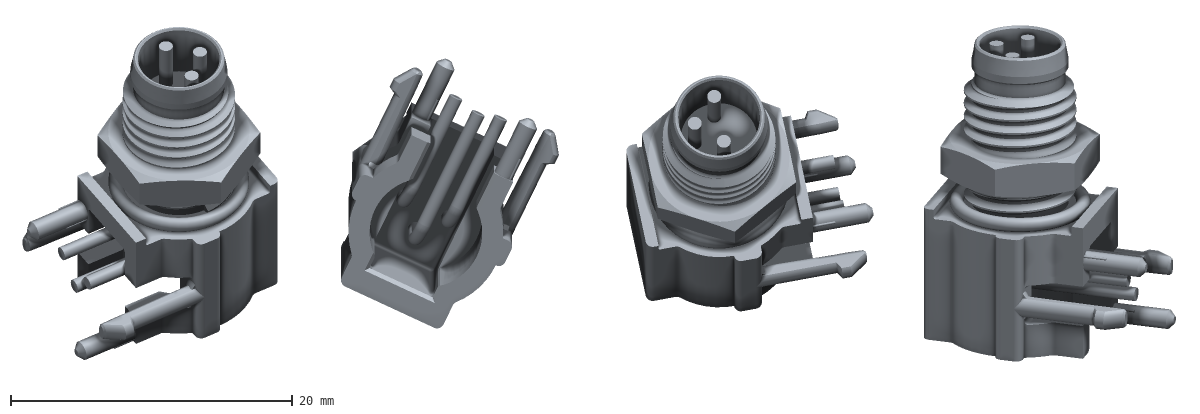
import cadquery as cq
import math

total_height = 22.0
overall_width = 13.0
margin = 0.22

housing_half_depth = 6.0
housing_half_width = 6.0
plate_half_width = 4.0
plate_top = 10.0
plate_inner_y = 5.17
deck_z = 9.3
deck_fillet = 0.15
side_radius = 5.5
shoulder_front_y = -2.0
shoulder_round = 0.5
shoulder_back_round = 0.48
plate_round = 0.5
flank_blend = 0.45

slot_bottom = 2.5
slot_top = 5.52
slot_fillet = 0.29
cavity_radius = 4.0
cavity_edge_chamfer = 0.1

pocket_half_width = 2.49
pocket_back_y = 4.1
pocket_top = 8.03
pocket_fillet = 0.29
pocket_flare = 0.26

thread_bottom = 10.0
thread_top = 19.0
root_radius = 3.45
crest_diameter = 8.0
crest_radius = crest_diameter / 2
thread_pitch = crest_diameter / 8
crest_flat = 0.13
thread_turns = 9.5
thread_overlap = 0.07
flank_slope = math.tan(math.radians(30))
neck_radius = 6.5 / 2
neck_top = 20.0
head_bottom = 20.17
head_top = 20.7
rim_chamfer = 0.13
bore_mouth_radius = 3.04
bore_radius = 2.9
bore_floor_radius = 2.73
bore_floor_z = 18.0

nut_flats = 10.03
nut_bottom = 12.15
nut_height = 2.53
nut_corner_drop = 0.25

ring_radius = 0.5
ring_outer_radius = 10.0 / 2
ring_sink = 0.02
seat_height = 0.45

pin_diameter = 1.0
pin_offset = 1.75
pin_top = 21.67
pin_front_y = -8.7
pin_bend = 1.5
outer_pin_z = 5.5
middle_pin_z = 3.75

post_diameter = 1.4
post_x = 6.5 / 2
upper_post_z = 7.24
lower_post_z = 0.75
post_end_y = -10.5
post_chamfer = 0.42
rib_radius = 0.09
rib_length = 1.67

arm_z = 4.0
arm_half_height = 0.7
arm_side_radius = 0.77
arm_root_y = -1.5
arm_root_inner_x = 4.58
hook_x = overall_width / 2
hook_inner_x = 4.7
hook_back_y = -7.4
hook_full_y = -7.68
hook_nose_y = -8.34
tip_inner_x = 4.75
tip_outer_x = 5.7
tip_y = -9.48
tip_chamfer = 0.15
flare_radius = 1.08
flare_length = 0.29


def box_between(x0, x1, y0, y1, z0, z1):
    return cq.Workplane("XY").box(x1 - x0, y1 - y0, z1 - z0, centered=False).translate((x0, y0, z0))


def disc(radius, z0, z1):
    return cq.Workplane("XY", origin=(0, 0, z0)).circle(radius).extrude(z1 - z0)


def revolved(outline):
    """Solid of revolution about Z from a closed outline in the XZ plane."""
    return outline.revolve(360, (0, 0, 0), (0, 1, 0))


def rod_toward_front(diameter, x, z, y0, y1):
    """Round rod along Y from y0 forward to y1."""
    return cq.Workplane("XZ", origin=(x, y0, z)).circle(diameter / 2).extrude(y0 - y1)


def flank_point(angle_degrees):
    angle = math.radians(angle_degrees)
    return (side_radius * math.cos(angle), side_radius * math.sin(angle))


def make_housing():
    plate_angle = math.degrees(math.acos(plate_half_width / side_radius))
    shoulder_angle = math.degrees(math.asin(shoulder_front_y / side_radius))
    body = (
        cq.Workplane("XY")
        .moveTo(0, housing_half_depth)
        .lineTo(plate_half_width, housing_half_depth)
        .lineTo(*flank_point(plate_angle))
        .threePointArc(flank_point(plate_angle / 2), flank_point(0))
        .lineTo(housing_half_width, 0)
        .lineTo(housing_half_width, shoulder_front_y)
        .lineTo(*flank_point(shoulder_angle))
        .threePointArc(flank_point((shoulder_angle - plate_angle) / 2), flank_point(-plate_angle))
        .lineTo(plate_half_width, -housing_half_depth)
        .lineTo(0, -housing_half_depth)
        .mirrorY()
        .extrude(plate_top)
    )

    plate_corner = (plate_half_width, housing_half_depth)
    shoulder_front = (housing_half_width, shoulder_front_y)
    shoulder_back = (housing_half_width, 0)
    rounded_corners = [
        (plate_corner, plate_round),
        (shoulder_front, shoulder_round),
        (shoulder_back, shoulder_back_round),
        (flank_point(plate_angle), flank_blend),
        (flank_point(-plate_angle), flank_blend),
    ]
    for (x, y), radius in rounded_corners:
        for side in (-1, 1):
            corner = cq.selectors.NearestToPointSelector((side * x, y, plate_top / 2))
            body = body.edges("|Z").edges(corner).fillet(radius)

    reach = housing_half_width + margin
    deck_cut = box_between(-reach, reach, -plate_inner_y, plate_inner_y, deck_z, plate_top + margin)
    body = body.cut(deck_cut.edges("|X and <Z").fillet(deck_fillet))

    slot = box_between(-reach, reach, -reach, shoulder_front_y, slot_bottom, slot_top)
    body = body.cut(slot.edges("|X and >Y").fillet(slot_fillet))
    body = body.cut(disc(cavity_radius, 0, slot_top))
    body = body.cut(make_pocket())

    cavity_edge_y = math.sqrt(cavity_radius**2 - pocket_half_width**2)
    for side in (-1, 1):
        cavity_edge = (side * pocket_half_width, cavity_edge_y, (pocket_flare + slot_top) / 2)
        edge = cq.selectors.NearestToPointSelector(cavity_edge)
        body = body.edges("|Z").edges(edge).chamfer(cavity_edge_chamfer)
    return body


def make_pocket():
    front_y = -housing_half_depth - 2 * pocket_flare
    pocket = box_between(-pocket_half_width, pocket_half_width, front_y, pocket_back_y, 0, pocket_top)
    pocket = pocket.edges("(|Z and >Y) or (>Z and (not <Y))").fillet(pocket_fillet)
    flare = (
        cq.Workplane("XY", origin=(0, (front_y + pocket_back_y) / 2, 0))
        .rect(2 * (pocket_half_width + pocket_flare), pocket_back_y - front_y + 2 * pocket_flare)
        .extrude(pocket_flare, taper=45)
    )
    return pocket.union(flare)


def make_barrel():
    """Turned outline from the deck up to the rim, without the thread and the bore."""
    outline = (
        cq.Workplane("XZ")
        .moveTo(0, deck_z - margin)
        .lineTo(0, total_height)
        .lineTo(neck_radius - rim_chamfer, total_height)
        .lineTo(neck_radius, total_height - rim_chamfer)
        .lineTo(root_radius, head_top)
        .lineTo(root_radius, head_bottom)
        .lineTo(neck_radius, neck_top)
        .lineTo(neck_radius, thread_top)
        .lineTo(root_radius, thread_top - (root_radius - neck_radius) * flank_slope)
        .lineTo(root_radius, deck_z - margin)
        .close()
    )
    return revolved(outline)


def make_thread():
    """Helical 60 degree ridge, cut off at the top by a 30 degree lead-in cone."""
    root_half = crest_flat / 2 + (crest_radius - root_radius + thread_overlap) * flank_slope
    inner = root_radius - thread_overlap
    helix = cq.Wire.makeHelix(thread_pitch, thread_turns * thread_pitch, inner)
    ridge = (
        cq.Workplane("XZ")
        .polyline([
            (inner, -root_half),
            (crest_radius, -crest_flat / 2),
            (crest_radius, crest_flat / 2),
            (inner, root_half),
        ])
        .close()
        .sweep(cq.Workplane(obj=helix), isFrenet=True)
        .translate((0, 0, thread_bottom))
    )
    reach = crest_radius + margin
    lead_in_outline = (
        cq.Workplane("XZ")
        .moveTo(0, deck_z)
        .lineTo(0, thread_top)
        .lineTo(neck_radius, thread_top)
        .lineTo(reach, thread_top - (reach - neck_radius) * flank_slope)
        .lineTo(reach, deck_z)
        .close()
    )
    lead_in = revolved(lead_in_outline)
    return ridge.intersect(lead_in)


def make_bore():
    outline = (
        cq.Workplane("XZ")
        .moveTo(0, total_height)
        .lineTo(bore_mouth_radius, total_height)
        .lineTo(bore_radius, total_height - rim_chamfer)
        .lineTo(bore_floor_radius, bore_floor_z)
        .lineTo(0, bore_floor_z)
        .close()
    )
    return revolved(outline)


def make_nut():
    corner_diameter = nut_flats / math.cos(math.radians(30))
    hexagon = cq.Workplane("XY", origin=(0, 0, nut_bottom)).polygon(6, corner_diameter).extrude(nut_height)
    corner_radius = corner_diameter / 2
    nut_top = nut_bottom + nut_height
    envelope_outline = (
        cq.Workplane("XZ")
        .moveTo(0, nut_bottom)
        .lineTo(nut_flats / 2, nut_bottom)
        .lineTo(corner_radius, nut_bottom + nut_corner_drop)
        .lineTo(corner_radius, nut_top - nut_corner_drop)
        .lineTo(nut_flats / 2, nut_top)
        .lineTo(0, nut_top)
        .close()
    )
    envelope = revolved(envelope_outline)
    return hexagon.intersect(envelope)


def make_sealing_ring():
    path_radius = ring_outer_radius - ring_radius
    centre_z = deck_z + ring_radius - ring_sink
    ring_outline = (
        cq.Workplane("XZ")
        .moveTo(-path_radius, centre_z)
        .circle(ring_radius)
    )
    ring = revolved(ring_outline)
    seat = disc(path_radius - ring_radius / 2, deck_z, deck_z + seat_height)
    return ring.union(seat)


def make_pin(x, y, front_z):
    """Pin that drops down the barrel, bends forward and leaves through the pocket."""
    half_bend = math.radians(45)
    bend_y = y - pin_bend
    bend_z = front_z + pin_bend
    middle_of_bend = (bend_y + pin_bend * math.cos(half_bend), bend_z - pin_bend * math.sin(half_bend))
    path = (
        cq.Workplane("YZ", origin=(x, 0, 0))
        .moveTo(y, pin_top)
        .lineTo(y, bend_z)
        .threePointArc(middle_of_bend, (bend_y, front_z))
        .lineTo(pin_front_y, front_z)
    )
    return cq.Workplane("XY", origin=(x, y, pin_top)).circle(pin_diameter / 2).sweep(path)


def make_post(x, z):
    """Post with a conical tip and two short crush ribs on a diagonal."""
    base_y = -housing_half_depth
    post = rod_toward_front(post_diameter, x, z, base_y, post_end_y).faces("<Y").chamfer(post_chamfer)
    offset = post_diameter / 2 * math.cos(math.radians(45))
    for side in (-1, 1):
        rib_x = x + side * offset
        rib_z = z - side * offset
        rib = rod_toward_front(2 * rib_radius, rib_x, rib_z, base_y, base_y - rib_length)
        post = post.union(rib)
    return post


def arm_section(y, inner_x, outer_x, half_height):
    """Cross-section of an arm: flat above and below, round on both sides."""
    bulge = arm_side_radius - math.sqrt(arm_side_radius**2 - half_height**2)
    outline = (
        cq.Workplane("XZ", origin=(0, y, arm_z))
        .moveTo(inner_x + bulge, -half_height)
        .lineTo(outer_x - bulge, -half_height)
        .threePointArc((outer_x, 0), (outer_x - bulge, half_height))
        .lineTo(inner_x + bulge, half_height)
        .threePointArc((inner_x, 0), (inner_x + bulge, -half_height))
        .wire()
    )
    return outline.val()


def make_arm():
    """Snap arm on the +X side: straight shank, hook, slanted nose, chamfered tip and flared root."""
    sections = [
        arm_section(arm_root_y, arm_root_inner_x, housing_half_width, arm_half_height),
        arm_section(hook_back_y, hook_inner_x, housing_half_width, arm_half_height),
        arm_section(hook_full_y, hook_inner_x, hook_x, arm_half_height),
        arm_section(hook_nose_y, hook_inner_x, hook_x, arm_half_height),
        arm_section(tip_y, tip_inner_x, tip_outer_x, arm_half_height),
        arm_section(
            tip_y - tip_chamfer,
            tip_inner_x + tip_chamfer,
            tip_outer_x - tip_chamfer,
            arm_half_height - tip_chamfer,
        ),
    ]
    arm = cq.Workplane(obj=cq.Solid.makeLoft(sections, True))

    flare = (
        cq.Workplane("XZ", origin=(housing_half_width - arm_half_height, shoulder_front_y, arm_z))
        .circle(flare_radius)
        .workplane(offset=flare_length)
        .circle(arm_half_height)
        .loft()
    )
    flat_end_x = housing_half_width - shoulder_round
    flare_limit = box_between(0, flat_end_x, hook_back_y, 0, 0, plate_top)
    return arm.union(flare.intersect(flare_limit))


barrel = make_barrel().union(make_thread()).union(make_nut()).cut(make_bore())
result = make_housing().union(make_sealing_ring()).union(barrel)

for x, y, front_z in [
    (-pin_offset, 0, outer_pin_z),
    (0, pin_offset, middle_pin_z),
    (pin_offset, 0, outer_pin_z),
]:
    result = result.union(make_pin(x, y, front_z))

for x, z in [(-post_x, upper_post_z), (post_x, lower_post_z)]:
    result = result.union(make_post(x, z))

right_arm = make_arm()
result = result.union(right_arm).union(right_arm.mirror("YZ"))